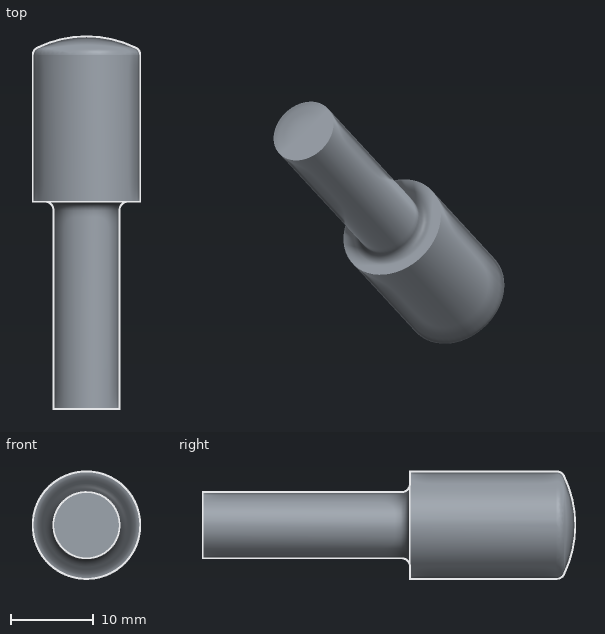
import cadquery as cq
import math

total_length = 45.0
head_diameter = 13.0
shank_diameter = 8.0
shank_length = 25.0
blend_radius = 1.0
dome_radius = 13.5

head_radius = head_diameter / 2
shank_radius = shank_diameter / 2

dome_top = total_length - shank_length
dome_sagitta = dome_radius - math.sqrt(dome_radius**2 - head_radius**2)
rim_y = dome_top - dome_sagitta
mid_dome_radius = head_radius / 2
mid_dome_y = dome_top - dome_radius + math.sqrt(dome_radius**2 - mid_dome_radius**2)


def make_head():
    """Domed cylinder whose rim is rounded into the dome."""
    head = (
        cq.Workplane("XY")
        .lineTo(head_radius, 0)
        .lineTo(head_radius, rim_y)
        .threePointArc((mid_dome_radius, mid_dome_y), (0, dome_top))
        .close()
        .revolve(360, (0, 0, 0), (0, 1, 0))
    )
    rim = cq.selectors.NearestToPointSelector((0, rim_y, 0))
    return head.edges("%CIRCLE").edges(rim).fillet(blend_radius)


def make_shank():
    """Round shank flaring through a concave fillet into the shoulder."""
    flare_radius = shank_radius + blend_radius
    arc_offset = blend_radius * math.sqrt(0.5)
    arc_middle = (flare_radius - arc_offset, arc_offset - blend_radius)
    return (
        cq.Workplane("XY")
        .lineTo(0, -shank_length)
        .lineTo(shank_radius, -shank_length)
        .lineTo(shank_radius, -blend_radius)
        .threePointArc(arc_middle, (flare_radius, 0))
        .close()
        .revolve(360, (0, 0, 0), (0, 1, 0))
    )


result = make_head().union(make_shank())